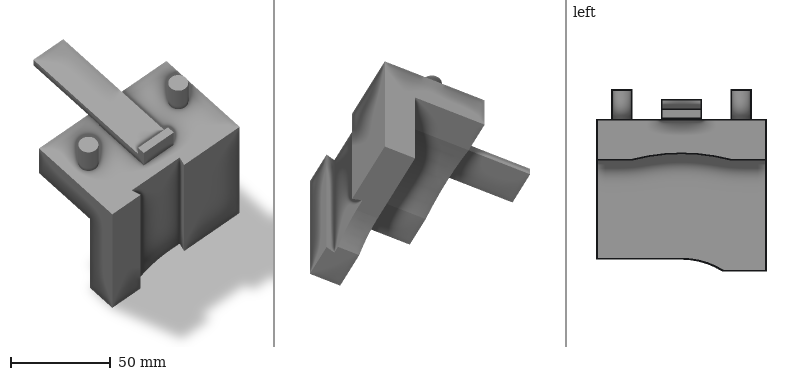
import cadquery as cq

bracket_width = 85.0
bracket_height = 76.0
bracket_depth = 56.0
shelf_thickness = 20.0
wall_thickness = 17.0

arch_half_span = 24.4
arch_rise = 3.1

step_height = 6.0
step_run = 20.9

slot_center_y = -9.1
slot_depth = 5.1
slot_mouth_width = 29.0
slot_floor_width = 31.9

pin_diameter = 10.0
pin_height = 15.0
pin_spacing = 60.0

pin_setback = 32.6

arm_reach = 97.5
arm_setback = 13.2
arm_width = 20.0
arm_top = 5.2
arm_gap = 0.7
arm_foot_start = bracket_depth - 8.5
lip_height = 10.0
lip_thickness = 4.4


def make_bracket():
    """L-shaped profile extruded across the full width."""
    profile = (
        cq.Workplane("XZ")
        .moveTo(0, 0)
        .lineTo(-bracket_depth, 0)
        .lineTo(-bracket_depth, -shelf_thickness)
        .lineTo(-wall_thickness, -shelf_thickness)
        .lineTo(-wall_thickness, -bracket_height)
        .lineTo(0, -bracket_height)
        .close()
    )
    return profile.extrude(bracket_width / 2, both=True)


def make_arch_cut():
    """Circular segment under the shelf, from its front face to the wall."""
    return (
        cq.Workplane("YZ", origin=(-bracket_depth, 0, -shelf_thickness))
        .moveTo(-arch_half_span, 0)
        .threePointArc((0, arch_rise), (arch_half_span, 0))
        .close()
        .extrude(bracket_depth - wall_thickness)
    )


def make_step_cut():
    """Raises the +Y half of the wall's lower edge, blending down along a tangent arc."""
    return (
        cq.Workplane("YZ", origin=(-wall_thickness, 0, -bracket_height))
        .moveTo(bracket_width / 2, 0)
        .lineTo(bracket_width / 2, step_height)
        .lineTo(0, step_height)
        .tangentArcPoint((-step_run, 0), relative=False)
        .close()
        .extrude(wall_thickness)
    )


def make_slot_cut():
    """Dovetail running the full height of the back face."""
    half_mouth = slot_mouth_width / 2
    half_floor = slot_floor_width / 2
    return (
        cq.Workplane("XY")
        .polyline([
            (0, slot_center_y - half_mouth),
            (0, slot_center_y + half_mouth),
            (-slot_depth, slot_center_y + half_floor),
            (-slot_depth, slot_center_y - half_floor),
        ])
        .close()
        .extrude(-bracket_height)
    )


def make_pins():
    """Pair of pins standing on the top face."""
    half_spacing = pin_spacing / 2
    return (
        cq.Workplane("XY")
        .pushPoints([(-pin_setback, -half_spacing), (-pin_setback, half_spacing)])
        .circle(pin_diameter / 2)
        .extrude(pin_height)
    )


def make_arm():
    """Arm side profile, with foot and lip, extruded across the arm width."""
    profile = (
        cq.Workplane("XZ")
        .moveTo(-arm_setback, 0)
        .lineTo(-arm_setback, lip_height)
        .lineTo(-arm_setback - lip_thickness, lip_height)
        .lineTo(-arm_setback - lip_thickness, arm_top)
        .lineTo(-arm_reach, arm_top)
        .lineTo(-arm_reach, arm_gap)
        .lineTo(-arm_foot_start, arm_gap)
        .lineTo(-arm_foot_start, 0)
        .close()
    )
    return profile.extrude(arm_width / 2, both=True)


bracket = make_bracket().cut(make_arch_cut()).cut(make_step_cut()).cut(make_slot_cut())
result = bracket.union(make_pins()).union(make_arm())